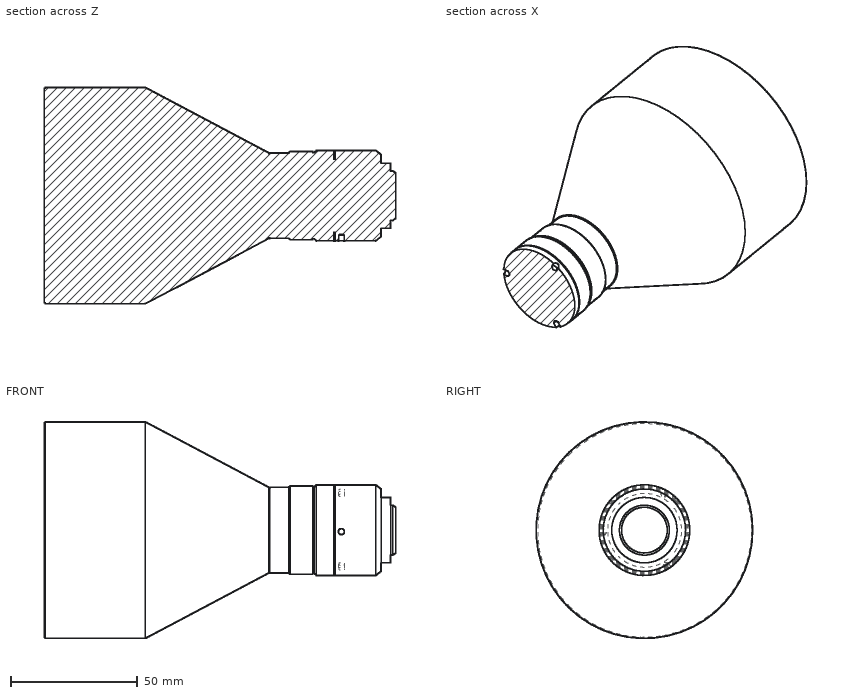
import cadquery as cq
import math

total_length = 139.5

barrel_radius = 43.0
barrel_end = 40.2
front_chamfer = 0.5
cone_end = 89.1

neck_radius = 17.0
neck_end = 97.1
neck_groove_width = 0.4
neck_groove_depth = 0.3

ring_radius = 17.6
ring_end = 106.6
ring_chamfer = 0.4

body_radius = 18.0
body_start = 108.0
body_lead_in = 0.8
body_end = 133.6
body_chamfer_length = 2.1
body_chamfer_depth = 1.7
body_groove_start = 115.0
body_groove_width = 0.4
body_groove_depth = 3.3

collar_radius = 13.0
collar_end = 137.4
tip_radius = 9.9
tip_end_radius = 9.0
tip_taper_length = 1.3

hole_position = 117.9
hole_diameter = 2.4
hole_wall_depth = 2.2
hole_tip_depth = 0.8
hole_count = 3
first_hole_angle = 62.0


def revolved_body():
    """Solid lens body made from its half outline of (X, radius) points."""
    neck_floor = neck_radius - neck_groove_depth
    ring_edge_radius = ring_radius - ring_chamfer
    body_floor = body_radius - body_groove_depth
    body_groove_end = body_groove_start + body_groove_width
    outline = [
        (0, 0),
        (0, barrel_radius - front_chamfer),
        (front_chamfer, barrel_radius),
        (barrel_end, barrel_radius),
        (cone_end, neck_radius),
        (cone_end, neck_floor),
        (cone_end + neck_groove_width, neck_floor),
        (cone_end + neck_groove_width, neck_radius),
        (neck_end, neck_radius),
        (neck_end, ring_edge_radius),
        (neck_end + ring_chamfer, ring_radius),
        (ring_end, ring_radius),
        (ring_end, ring_edge_radius),
        (body_start - body_lead_in, ring_edge_radius),
        (body_start, body_radius),
        (body_groove_start, body_radius),
        (body_groove_start, body_floor),
        (body_groove_end, body_floor),
        (body_groove_end, body_radius),
        (body_end - body_chamfer_length, body_radius),
        (body_end, body_radius - body_chamfer_depth),
        (body_end, collar_radius),
        (collar_end, collar_radius),
        (collar_end, tip_radius),
        (total_length - tip_taper_length, tip_radius),
        (total_length, tip_end_radius),
        (total_length, 0),
    ]
    return cq.Workplane("XY").polyline(outline).close().revolve(360, (0, 0, 0), (1, 0, 0))


def drilled_hole(angle):
    """Cutter for one radial hole with a conical tip; the angle runs from +Y towards +Z."""
    outward = cq.Vector(0, math.cos(math.radians(angle)), math.sin(math.radians(angle)))
    inward = outward * -1
    axis_point = cq.Vector(hole_position, 0, 0)
    rim_center = axis_point + outward * body_radius
    tip_base = axis_point + outward * (body_radius - hole_wall_depth)
    wall = cq.Workplane(cq.Solid.makeCylinder(hole_diameter / 2, hole_wall_depth, rim_center, inward))
    tip = cq.Workplane(cq.Solid.makeCone(hole_diameter / 2, 0, hole_tip_depth, tip_base, inward))
    return wall.union(tip)


result = revolved_body()
for index in range(hole_count):
    result = result.cut(drilled_hole(first_hole_angle + index * 360 / hole_count))